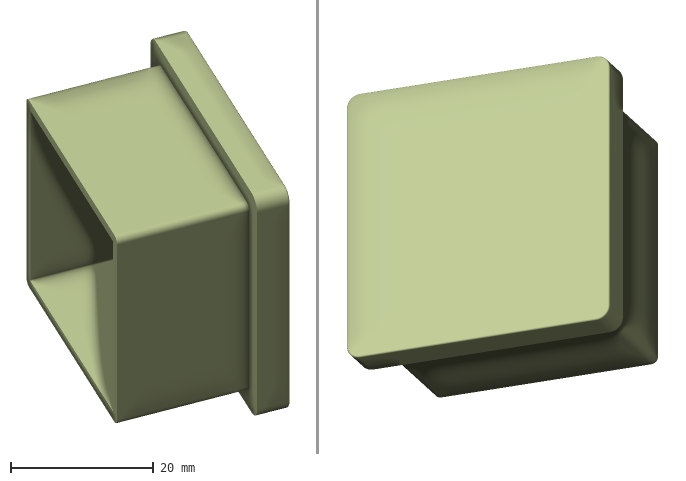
import cadquery as cq

flange_side = 40.0
flange_thickness = 5.0
flange_corner_radius = 2.0
flange_edge_radius = 0.25

plug_side = 34.0
plug_length = 20.0
plug_corner_radius = 1.0

cavity_side = 31.0
cavity_depth = plug_length
cavity_corner_radius = 0.25


def rounded_square_prism(side, corner_radius, front_y, length):
    """Square prism along +Y from front_y, with its long edges rounded."""
    return (
        cq.Workplane("XY")
        .box(side, length, side)
        .edges("|Y")
        .fillet(corner_radius)
        .translate((0, front_y + length / 2, 0))
    )


flange = rounded_square_prism(flange_side, flange_corner_radius, 0, flange_thickness)
flange = flange.faces(">Y").edges().fillet(flange_edge_radius)

plug = rounded_square_prism(plug_side, plug_corner_radius, -plug_length, plug_length)
cavity = rounded_square_prism(cavity_side, cavity_corner_radius, -plug_length, cavity_depth)

result = flange.union(plug).cut(cavity)